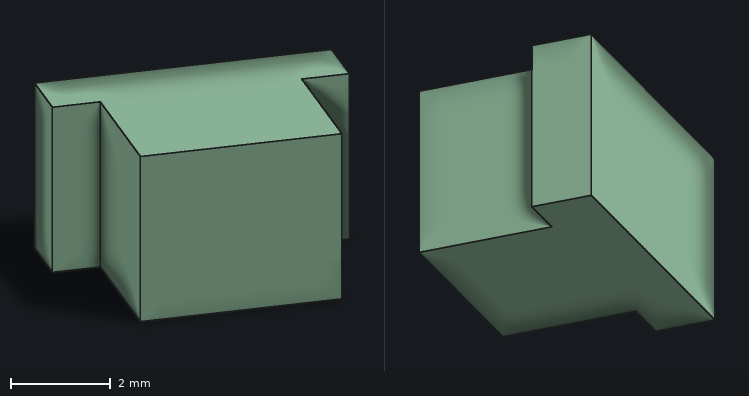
import cadquery as cq

total_depth = 4.21
flange_width = 6.2
height = 3.6

flange_thickness = 1.3
body_width = 4.205
body_depth = total_depth - flange_thickness


def block(start_x, depth, width):
    """Full-height block centred on Y, running in +X from start_x."""
    return (
        cq.Workplane("XY")
        .box(depth, width, height, centered=(False, True, False))
        .translate((start_x, 0, 0))
    )


flange = block(0, flange_thickness, flange_width)
body = block(flange_thickness, body_depth, body_width)

result = flange.union(body)